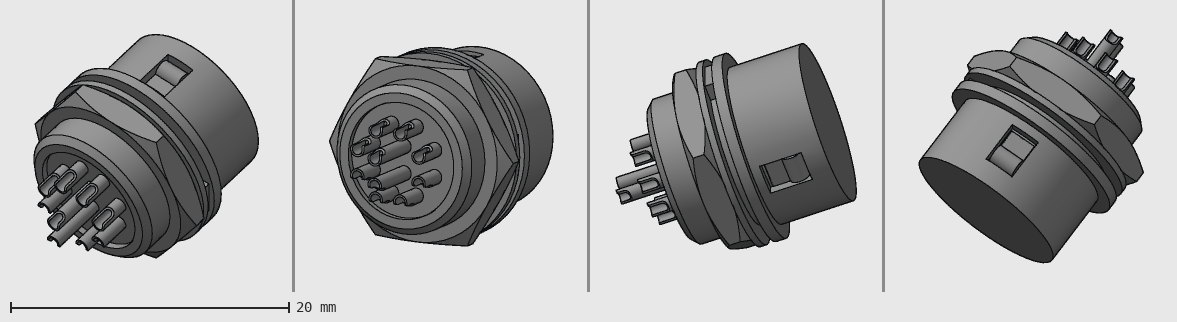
import cadquery as cq
import math


REAR_LENGTH = 5.5
REAR_RADIUS = 5.95
FLANGE_THICKNESS = 0.8
FLANGE_RADIUS = 7.0
THREAD_RADIUS = 5.5
THREAD_CHAMFER = 0.5
THREAD_BEYOND_NUT = 2.5
RECESS_RADIUS = 4.3
RECESS_DEPTH = 0.5

PANEL_GAP = 0.7
WASHER_THICKNESS = 0.5
NUT_THICKNESS = 2.0
NUT_ACROSS_FLATS = 13.0
NUT_CHAMFER_ANGLE = 30.0

KEY_REACH = 6.5
KEY_WIDTH = 3.0

WINDOW_WIDTH = 2.3
WINDOW_LENGTH = 3.2
WINDOW_SETBACK = 1.6
WINDOW_FLOOR_RADIUS = 5.0
LATCH_WIDTH = 2.0
LATCH_SIDE_GAP = (WINDOW_WIDTH - LATCH_WIDTH) / 2
LATCH_LENGTH = 2.8
LATCH_PLATE_HEIGHT = 5.25
LATCH_ROOT_HEIGHT = 4.4
LATCH_BUMP_WIDTH = 1.46
LATCH_BUMP_HEIGHT = 0.6

PIN_RADIUS = 0.55
PIN_BORE_RADIUS = 0.4
LONG_PIN = 4.0
SHORT_PIN = 2.0
LONG_PIN_CUP = 1.0
SHORT_PIN_CUP = 1.5
CUP_LIP_HEIGHT = 0.24
CUP_TIP_ROUND = 0.24
CUP_REAR_ROUND = 0.5
PIN_BORE_BEYOND_CUP = 0.5
INNER_ROW_Z = 1.0
INNER_ROW_PITCH = 2.5
OUTER_ROW_Z = 2.54
OUTER_ROW_HALF_PITCH = 1.0

FLANGE_REAR = FLANGE_THICKNESS
SHELL_REAR = FLANGE_REAR + REAR_LENGTH
WASHER_REAR = -PANEL_GAP
NUT_REAR = WASHER_REAR - WASHER_THICKNESS
NUT_FRONT = NUT_REAR - NUT_THICKNESS
SHELL_FRONT = NUT_FRONT - THREAD_BEYOND_NUT
RECESS_FLOOR = SHELL_FRONT + RECESS_DEPTH


def disc(radius, front, rear):
    """Cylinder about the Y axis between two stations."""
    return cq.Workplane("XZ", origin=(0, rear, 0)).circle(radius).extrude(rear - front)


def make_shell():
    rear_shell = disc(REAR_RADIUS, FLANGE_REAR, SHELL_REAR)
    flange = disc(FLANGE_RADIUS, 0, FLANGE_REAR)
    thread = disc(THREAD_RADIUS, SHELL_FRONT, FLANGE_REAR).faces("<Y").chamfer(THREAD_CHAMFER)
    recess = disc(RECESS_RADIUS, SHELL_FRONT, RECESS_FLOOR)
    return rear_shell.union(flange).union(thread).cut(recess)


def make_key():
    return cq.Workplane("XY").box(
        KEY_REACH, PANEL_GAP, KEY_WIDTH, centered=(False, False, True)
    ).translate((0, WASHER_REAR, 0))


def make_nut():
    """Hexagon with points on the X axis, corners turned off by cones on both sides."""
    flat_radius = NUT_ACROSS_FLATS / 2
    corner_radius = flat_radius / math.cos(math.pi / 6)
    hexagon = (
        cq.Workplane("XZ", origin=(0, NUT_REAR, 0))
        .polygon(6, 2 * corner_radius)
        .extrude(NUT_THICKNESS)
    )
    corner_drop = (corner_radius - flat_radius) * math.tan(math.radians(NUT_CHAMFER_ANGLE))
    double_cone = (
        cq.Workplane("XY")
        .moveTo(0, NUT_FRONT)
        .lineTo(flat_radius, NUT_FRONT)
        .lineTo(corner_radius, NUT_FRONT + corner_drop)
        .lineTo(corner_radius, NUT_REAR - corner_drop)
        .lineTo(flat_radius, NUT_REAR)
        .lineTo(0, NUT_REAR)
        .close()
        .revolve(360, (0, 0, 0), (0, 1, 0))
    )
    return hexagon.intersect(double_cone)


def make_window():
    """Top latch window, cut down to a cylindrical floor."""
    window_rear = SHELL_REAR - WINDOW_SETBACK
    window_front = window_rear - WINDOW_LENGTH
    opening = cq.Workplane("XY").box(
        WINDOW_WIDTH, WINDOW_LENGTH, FLANGE_RADIUS, centered=(True, False, False)
    ).translate((0, window_front, 0))
    return opening.cut(disc(WINDOW_FLOOR_RADIUS, window_front, window_rear))


def make_latch():
    """Top latch: a flat plate with a rounded bump at its rear end, rooted below the window floor."""
    latch_rear = SHELL_REAR - WINDOW_SETBACK - LATCH_SIDE_GAP
    latch_front = latch_rear - LATCH_LENGTH
    bump_front = latch_rear - LATCH_BUMP_WIDTH
    bump_middle = latch_rear - LATCH_BUMP_WIDTH / 2
    return (
        cq.Workplane("YZ")
        .moveTo(latch_front, LATCH_ROOT_HEIGHT)
        .lineTo(latch_front, LATCH_PLATE_HEIGHT)
        .lineTo(bump_front, LATCH_PLATE_HEIGHT)
        .threePointArc(
            (bump_middle, LATCH_PLATE_HEIGHT + LATCH_BUMP_HEIGHT),
            (latch_rear, LATCH_PLATE_HEIGHT),
        )
        .lineTo(latch_rear, LATCH_ROOT_HEIGHT)
        .close()
        .extrude(LATCH_WIDTH / 2, both=True)
    )


def make_pin(x, z, length, cup_length):
    """Bored solder pin whose open cup faces +Z."""
    tip = SHELL_FRONT - length
    cup_rear = tip + cup_length
    bore = disc(PIN_BORE_RADIUS, tip, cup_rear + PIN_BORE_BEYOND_CUP)
    pin = disc(PIN_RADIUS, tip, RECESS_FLOOR).cut(bore)
    opening_top = CUP_LIP_HEIGHT + CUP_REAR_ROUND
    cup_opening = (
        cq.Workplane("YZ")
        .moveTo(tip, opening_top)
        .lineTo(tip, CUP_LIP_HEIGHT - CUP_TIP_ROUND)
        .radiusArc((tip + CUP_TIP_ROUND, CUP_LIP_HEIGHT), CUP_TIP_ROUND)
        .lineTo(cup_rear - CUP_REAR_ROUND, CUP_LIP_HEIGHT)
        .radiusArc((cup_rear, opening_top), -CUP_REAR_ROUND)
        .close()
        .extrude(PIN_RADIUS, both=True)
    )
    return pin.cut(cup_opening).translate((x, 0, z))


def make_upper_pins():
    pins = [make_pin(0, INNER_ROW_Z, LONG_PIN, LONG_PIN_CUP)]
    for side in (-1, 1):
        pins.append(make_pin(side * INNER_ROW_PITCH, INNER_ROW_Z, SHORT_PIN, SHORT_PIN_CUP))
        pins.append(make_pin(side * OUTER_ROW_HALF_PITCH, OUTER_ROW_Z, SHORT_PIN, SHORT_PIN_CUP))
    return pins


part = make_shell()
part = part.union(make_key())
part = part.union(disc(FLANGE_RADIUS, NUT_REAR, WASHER_REAR))
part = part.union(make_nut())

window = make_window()
latch = make_latch()
part = part.cut(window).cut(window.mirror("XY"))
part = part.union(latch).union(latch.mirror("XY"))
for pin in make_upper_pins():
    part = part.union(pin).union(pin.mirror("XY"))

result = part